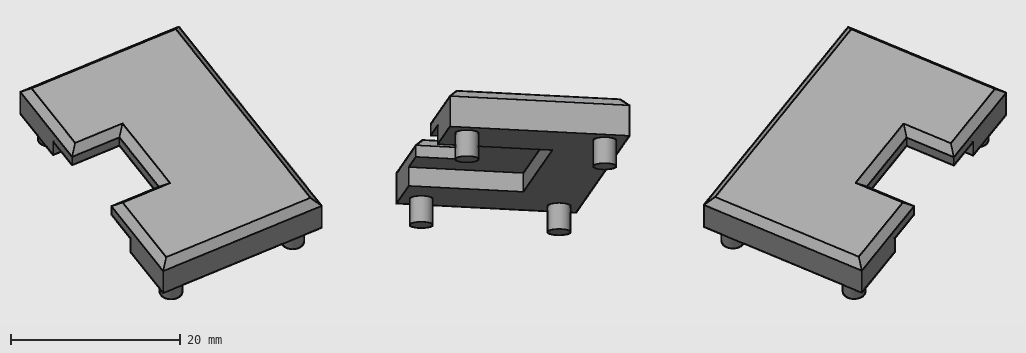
import cadquery as cq

length = 33.92
width = 21.57
plate_height = 4.7
edge_bevel = 1.0

notch_width = 9.33
notch_depth = 6.45

recess_width = 18.3
recess_height = 2.3
side_margin = (length - recess_width) / 2
recess_depth = width - side_margin

pin_diameter = 2.75
pin_length = 3.2
pin_inset = 2.5

front_y = -width / 2


def make_plate():
    """U-shaped plate with every top edge bevelled, the notch included."""
    blank = cq.Workplane("XY").box(length, width, plate_height, centered=(True, True, False))
    notch = (
        cq.Workplane("XY")
        .center(0, front_y)
        .box(notch_width, 2 * notch_depth, plate_height, centered=(True, True, False))
    )
    return blank.cut(notch).faces(">Z").chamfer(edge_bevel)


def make_recess():
    """Cutter for the pocket in the underside, starting at the front edge."""
    return (
        cq.Workplane("XY")
        .center(0, front_y)
        .box(recess_width, recess_depth, recess_height, centered=(True, False, False))
    )


def make_pins():
    """Four round pins hanging below the corners."""
    return (
        cq.Workplane("XY")
        .rect(length - 2 * pin_inset, width - 2 * pin_inset, forConstruction=True)
        .vertices()
        .circle(pin_diameter / 2)
        .extrude(-pin_length)
    )


result = make_plate().cut(make_recess()).union(make_pins())